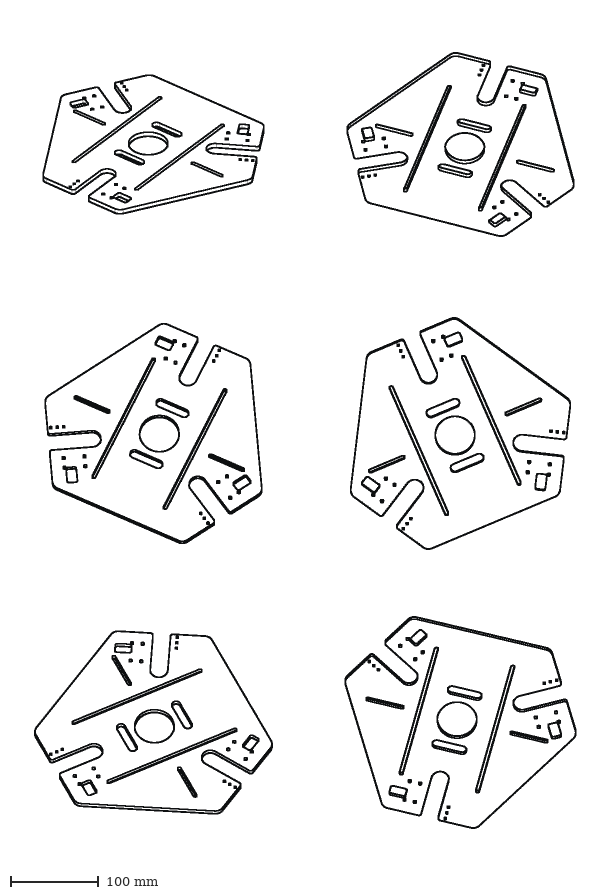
import cadquery as cq
import math

thickness = 6.0
short_side_distance = 126.7
long_side_distance = 111.0
corner_radius = 10.0
arm_angles = (0, 120, 240)

notch_width = 20.0
notch_depth = 59.7
notch_lip_radius = 3.0

bore_diameter = 45.0
grip_slot_length = 40.2
grip_slot_width = 10.0
grip_slot_offset = 35.0
strap_slot_width = 4.0
long_strap_length = 164.5
long_strap_offset = 45.0
short_strap_length = 44.5
short_strap_offset = 85.0

row_hole_diameter = 2.5
row_hole_count = 3
row_hole_pitch = 7.3
row_offset = 18.0
row_edge_distance = 11.0

bolt_diameter = 3.3
bolt_spacing_x = 12.2
bolt_spacing_y = 24.0
bolt_inner_x = 21.0
bolt_centre_x = bolt_inner_x + bolt_spacing_x / 2
bolt_edge_distance = 27.1
window_length = 19.0
window_width = 11.7
window_corner_radius = 2.5
window_centre_x = 42.5
window_edge_distance = 22.8


def plate():
    """Hexagonal plate with rounded corners, resting on Z = 0."""
    corner_x = (short_side_distance + long_side_distance) / math.sqrt(3)
    corner_y = short_side_distance - long_side_distance
    corner_reach = math.hypot(corner_x, corner_y)
    corner_angle = math.atan2(corner_y, corner_x)
    points = []
    for turn in arm_angles:
        for angle in (corner_angle, math.radians(60) - corner_angle):
            direction = math.radians(turn) + angle
            points.append((corner_reach * math.cos(direction), corner_reach * math.sin(direction)))
    outline = cq.Workplane("XY").polyline(points).close()
    return outline.extrude(thickness).edges("|Z").fillet(corner_radius)


def slots(centres, length, width, angle=0):
    """Cutters for round-ended through slots."""
    return cq.Workplane("XY").pushPoints(centres).slot2D(length, width, angle).extrude(thickness)


def holes(centres, diameter):
    """Cutters for round through holes."""
    return cq.Workplane("XY").pushPoints(centres).circle(diameter / 2).extrude(thickness)


def notch():
    """Round-ended notch cutter that flares out at the -Y short side."""
    half_width = notch_width / 2
    edge_y = -short_side_distance
    end_y = edge_y + notch_depth
    lip_x = half_width + notch_lip_radius
    lip_y = edge_y + notch_lip_radius
    lip_mid = notch_lip_radius * (1 - math.sqrt(0.5))
    return (
        cq.Workplane("XY")
        .moveTo(-lip_x, edge_y)
        .threePointArc((-half_width - lip_mid, edge_y + lip_mid), (-half_width, lip_y))
        .lineTo(-half_width, end_y - half_width)
        .threePointArc((0, end_y), (half_width, end_y - half_width))
        .lineTo(half_width, lip_y)
        .threePointArc((half_width + lip_mid, edge_y + lip_mid), (lip_x, edge_y))
        .close()
        .extrude(thickness)
    )


def row_holes():
    """Row of small holes running inward from the -Y short side."""
    middle_y = row_edge_distance - short_side_distance
    middle_index = (row_hole_count - 1) / 2
    centres = [(-row_offset, middle_y + (i - middle_index) * row_hole_pitch) for i in range(row_hole_count)]
    return holes(centres, row_hole_diameter)


def bolt_holes():
    """Rectangular pattern of four bolt holes beside the notch."""
    return (
        cq.Workplane("XY")
        .center(bolt_centre_x, bolt_edge_distance - short_side_distance)
        .rarray(bolt_spacing_x, bolt_spacing_y, 2, 2)
        .circle(bolt_diameter / 2)
        .extrude(thickness)
    )


def window():
    """Rectangular window with rounded corners beside the bolt holes."""
    return (
        cq.Workplane("XY")
        .center(window_centre_x, window_edge_distance - short_side_distance)
        .rect(window_length, window_width)
        .extrude(thickness)
        .edges("|Z")
        .fillet(window_corner_radius)
    )


result = plate()

result = result.cut(holes([(0, 0)], bore_diameter))
grip_centres = [(0, -grip_slot_offset), (0, grip_slot_offset)]
result = result.cut(slots(grip_centres, grip_slot_length, grip_slot_width))
long_strap_centres = [(-long_strap_offset, 0), (long_strap_offset, 0)]
result = result.cut(slots(long_strap_centres, long_strap_length, strap_slot_width, 90))
short_strap_centres = [(-short_strap_offset, 0), (short_strap_offset, 0)]
result = result.cut(slots(short_strap_centres, short_strap_length, strap_slot_width))

for arm_angle in arm_angles:
    for cutter in (notch(), row_holes(), bolt_holes(), window()):
        result = result.cut(cutter.rotate((0, 0, 0), (0, 0, 1), arm_angle))